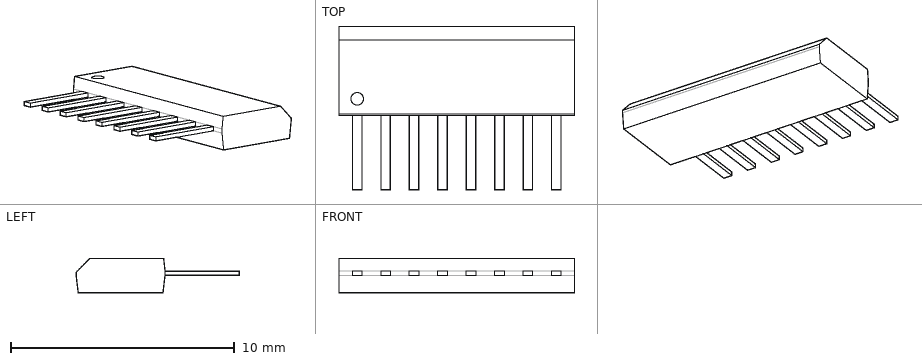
import cadquery as cq

HOUSING_LENGTH = 10.54
HOUSING_DEPTH = 3.98
HOUSING_HEIGHT = 1.55
TOP_INSET = 0.06
BOTTOM_INSET = 0.1
BACK_CHAMFER_DEPTH = 0.61
BACK_CHAMFER_HEIGHT = 0.63

PIN_COUNT = 8
PIN_ROW_SPAN = 8.9
PIN_PITCH = PIN_ROW_SPAN / (PIN_COUNT - 1)
PIN_WIDTH = 0.43
PIN_THICKNESS = 0.19
PIN_LENGTH = 3.32
PIN_BOTTOM = 0.79
PIN_TOP = PIN_BOTTOM + PIN_THICKNESS
FIRST_PIN_X = -PIN_ROW_SPAN / 2

MARKER_DIAMETER = 0.56
MARKER_THICKNESS = 0.05
MARKER_Y = 0.75


def make_marker():
    """Flat disc that identifies the first pin."""
    return (
        cq.Workplane("XY", origin=(FIRST_PIN_X, MARKER_Y, HOUSING_HEIGHT - MARKER_THICKNESS))
        .circle(MARKER_DIAMETER / 2)
        .extrude(MARKER_THICKNESS)
    )


def make_housing(marker):
    """Long body with drafted faces, a chamfered back edge and a recess for the marker."""
    profile = [
        (BOTTOM_INSET, 0),
        (0, PIN_BOTTOM),
        (0, PIN_TOP),
        (TOP_INSET, HOUSING_HEIGHT),
        (HOUSING_DEPTH - BACK_CHAMFER_DEPTH, HOUSING_HEIGHT),
        (HOUSING_DEPTH, HOUSING_HEIGHT - BACK_CHAMFER_HEIGHT),
        (HOUSING_DEPTH, PIN_BOTTOM),
        (HOUSING_DEPTH - BOTTOM_INSET, 0),
    ]
    body = cq.Workplane("YZ").polyline(profile).close().extrude(HOUSING_LENGTH / 2, both=True)
    return body.cut(marker)


def make_pin(x):
    """Flat pin that reaches forward from the upright band of the housing front."""
    return cq.Workplane("XY").box(
        PIN_WIDTH, PIN_LENGTH, PIN_THICKNESS, centered=(True, False, False)
    ).translate((x, -PIN_LENGTH, PIN_BOTTOM))


marker = make_marker()
housing = make_housing(marker)
pins = [make_pin(FIRST_PIN_X + i * PIN_PITCH) for i in range(PIN_COUNT)]

result = cq.Compound.makeCompound([housing.val(), marker.val(), *[pin.val() for pin in pins]])